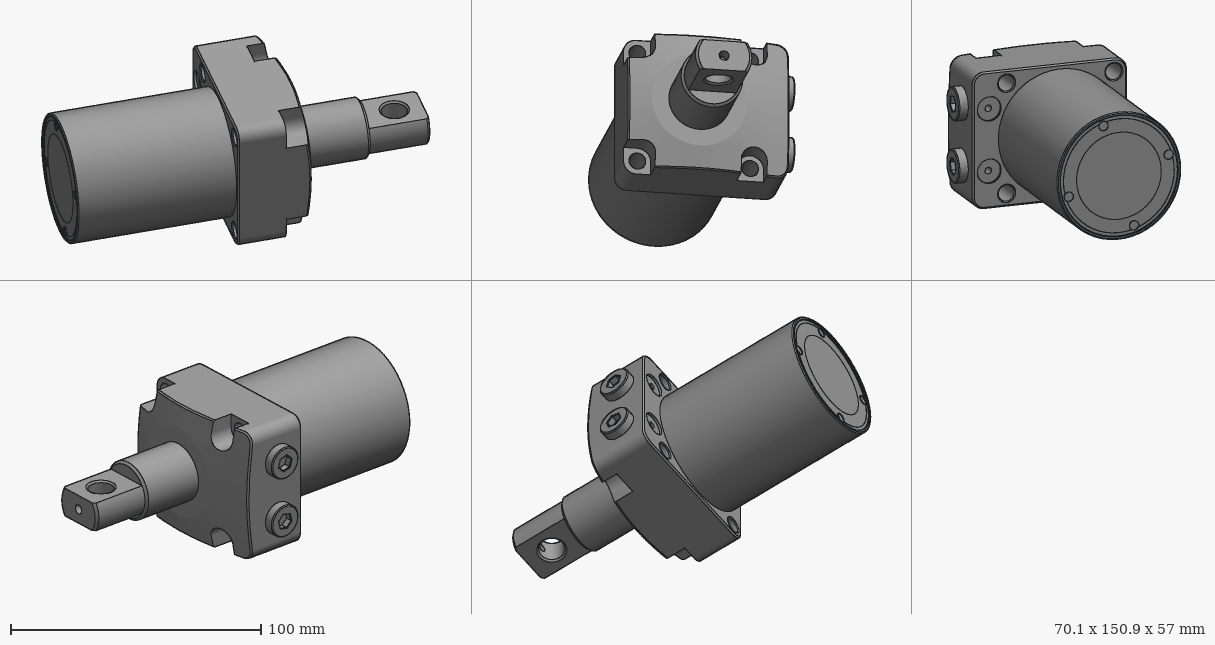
import cadquery as cq
import math

barrel_length = 66.0
flange_depth = 32.9
rod_length = 27.0
tongue_length = 25.0

flange_left = -37.5
flange_right = 28.5
flange_height = 57.0
flange_corner_radius = 5.0
flange_edge_chamfer = 0.68
crown_flat_radius = 19.5
crown_slope = 0.27
crown_reach = 60.4
crown_edge_chamfer = 0.6

bolt_offset = 23.0
bolt_hole_diameter = 6.8
bolt_hole_chamfer = 0.5
bolt_pocket_radius = 5.5
bolt_seat_y = 20.1
bolt_run_out = 15.1

port_spacing = 26.0
seal_recess_x = -30.4
seal_recess_diameter = 10.1
seal_recess_depth = 1.0
oil_hole_diameter = 2.7
plug_y = 12.0
plug_head_diameter = 13.9
plug_head_height = 4.1
plug_head_chamfer = 0.5
plug_shank_diameter = 9.0
plug_shank_length = 7.5
hex_across_flats = 5.7
hex_turn = 15
hex_depth = 3.0
hex_chamfer = 0.3

barrel_diameter = 53.0
barrel_chamfer = 0.5
cap_diameter = 50.1
cap_thickness = 9.0
cap_face_diameter = 47.4
cap_step = 0.2
cap_inset = 0.3
pin_hole_count = 4
pin_hole_circle_radius = 22.3
pin_hole_diameter = 4.0
pin_hole_depth = 0.3
pin_hole_angle = 17
plate_diameter = 36.2
plate_thickness = 3.0

rod_diameter = 25.0
rod_chamfer = 1.0
tongue_diameter = 23.0
tongue_thickness = 12.4
tongue_chamfer = 1.0
eye_diameter = 10.5
eye_chamfer = 0.8
eye_to_tip = 11.8
tip_hole_diameter = 4.0

barrel_end_y = -barrel_length
rod_shoulder_y = flange_depth + rod_length
rod_tip_y = rod_shoulder_y + tongue_length
cap_face_y = barrel_end_y + cap_inset
port_heights = (-port_spacing / 2, port_spacing / 2)


def cylinder_y(diameter, y_start, y_end, x=0, z=0):
    """A cylinder parallel to Y between two Y positions."""
    disc = cq.Workplane("XZ", origin=(x, y_start, z)).circle(diameter / 2)
    return disc.extrude(y_start - y_end)


def make_flange_block():
    """Rounded block whose rear end is a flat crown that falls away as a shallow cone."""
    width = flange_right - flange_left
    block = cq.Workplane("XY").box(width, flange_depth, flange_height)
    block = block.translate(((flange_left + flange_right) / 2, flange_depth / 2, 0))
    block = block.edges("|Y").fillet(flange_corner_radius)
    block = block.faces("<Y").edges().chamfer(flange_edge_chamfer)

    crown_drop = (crown_reach - crown_flat_radius) * crown_slope
    envelope = (
        cq.Workplane("XY")
        .moveTo(0, 0)
        .lineTo(crown_reach, 0)
        .lineTo(crown_reach, flange_depth - crown_drop)
        .lineTo(crown_flat_radius, flange_depth)
        .lineTo(0, flange_depth)
        .close()
        .revolve(360, (0, 0, 0), (0, 1, 0))
    )
    block = block.intersect(envelope)

    crown_cone = block.faces("%CONE").faces(">Y").val()
    rim = [edge for edge in crown_cone.outerWire().Edges() if edge.geomType() != "CIRCLE"]
    return block.newObject(rim).chamfer(crown_edge_chamfer)


def make_bolt_mouth(x, z):
    """Cone that chamfers a bolt hole at the mounting face."""
    inner_radius = bolt_hole_diameter / 2
    cone = cq.Solid.makeCone(
        inner_radius + bolt_hole_chamfer,
        inner_radius,
        bolt_hole_chamfer,
        cq.Vector(x, 0, z),
        cq.Vector(0, 1, 0),
    )
    return cq.Workplane(obj=cone)


def make_bolt_slot(x, z, size_x, size_z):
    """Straight run-out of a bolt head pocket, from the seat to the rear of the block."""
    size_y = flange_depth - bolt_seat_y
    slot = cq.Workplane("XY").box(size_x, size_y, size_z)
    return slot.translate((x, bolt_seat_y + size_y / 2, z))


def make_bolt_cutter(x_side, z_side):
    """Bolt hole whose head pocket opens upward or downward, and on the right also sideways."""
    x = x_side * bolt_offset
    z = z_side * bolt_offset
    cutter = cylinder_y(bolt_hole_diameter, 0, flange_depth, x, z)
    cutter = cutter.union(make_bolt_mouth(x, z))

    pocket_width = 2 * bolt_pocket_radius
    cutter = cutter.union(cylinder_y(pocket_width, bolt_seat_y, flange_depth, x, z))
    slot_z = z + z_side * bolt_run_out / 2
    cutter = cutter.union(make_bolt_slot(x, slot_z, pocket_width, bolt_run_out))
    if x_side > 0:
        slot_x = x + bolt_run_out / 2
        corner_z = z + z_side * (bolt_run_out - bolt_pocket_radius) / 2
        corner_height = bolt_run_out + bolt_pocket_radius
        cutter = cutter.union(make_bolt_slot(slot_x, corner_z, bolt_run_out, corner_height))
    return cutter


def make_oil_port_cutter(z):
    """O-ring recess and oil hole in the mounting face, and the plug bore that they lead to."""
    recess = cylinder_y(seal_recess_diameter, 0, seal_recess_depth, seal_recess_x, z)
    oil_hole = cylinder_y(oil_hole_diameter, 0, plug_y, seal_recess_x, z)
    return recess.union(oil_hole).union(make_plug_shank(z))


def make_plug_shank(z):
    """The part of a port plug inside the block, also the shape of its bore."""
    shank = cq.Workplane("YZ", origin=(flange_left, plug_y, z)).circle(plug_shank_diameter / 2)
    return shank.extrude(plug_shank_length)


def make_housing():
    """Flange block and barrel in one piece, bored for the rod, the cap and the plugs."""
    barrel = cylinder_y(barrel_diameter, barrel_end_y, 0)
    barrel = barrel.faces("<Y").edges().chamfer(barrel_chamfer)
    housing = make_flange_block().union(barrel)
    for x_side in (-1, 1):
        for z_side in (-1, 1):
            housing = housing.cut(make_bolt_cutter(x_side, z_side))
    for z in port_heights:
        housing = housing.cut(make_oil_port_cutter(z))
    rod_bore = cylinder_y(rod_diameter, 0, flange_depth)
    cap_recess = cylinder_y(cap_diameter, barrel_end_y, barrel_end_y + cap_thickness)
    housing = housing.cut(rod_bore).cut(cap_recess)
    inner_rim = cq.selectors.RadiusNthSelector(0)
    return housing.faces("<Y").edges(inner_rim).chamfer(cap_inset)


def make_rod():
    """Round rod with a flat-sided tongue, a cross eye and an axial hole from the tip."""
    rod = cylinder_y(rod_diameter, 0, rod_shoulder_y)
    rod = rod.faces(">Y").edges().chamfer(rod_chamfer)
    tongue = cylinder_y(tongue_diameter, rod_shoulder_y, rod_tip_y)
    tongue = tongue.faces(">Y").edges().chamfer(tongue_chamfer)
    flats = cq.Workplane("XY").box(tongue_diameter, 2 * tongue_length, tongue_thickness)
    tongue = tongue.intersect(flats.translate((0, rod_tip_y - tongue_length, 0)))

    eye_y = rod_tip_y - eye_to_tip
    eye = cq.Workplane("XY", origin=(0, eye_y, -tongue_thickness / 2)).circle(eye_diameter / 2)
    tongue = tongue.cut(eye.extrude(tongue_thickness))
    tongue = tongue.faces("|Z").edges("%CIRCLE").chamfer(eye_chamfer)
    tip_hole = cylinder_y(tip_hole_diameter, eye_y, rod_tip_y)
    return rod.union(tongue).cut(tip_hole)


def make_cap():
    """Screwed-in barrel cover with four shallow pin holes."""
    shoulder_y = cap_face_y + cap_step
    cap = cylinder_y(cap_diameter, shoulder_y, barrel_end_y + cap_thickness)
    cap = cap.union(cylinder_y(cap_face_diameter, cap_face_y, shoulder_y))
    for i in range(pin_hole_count):
        angle = math.radians(pin_hole_angle + i * 360 / pin_hole_count)
        x = pin_hole_circle_radius * math.cos(angle)
        z = pin_hole_circle_radius * math.sin(angle)
        cap = cap.cut(cylinder_y(pin_hole_diameter, cap_face_y, cap_face_y + pin_hole_depth, x, z))
    return cap.cut(make_plate())


def make_plate():
    """Round plate set flush in the middle of the cap."""
    return cylinder_y(plate_diameter, cap_face_y, cap_face_y + plate_thickness)


def make_plug(z):
    """Port plug: round head with a chamfered hexagon socket, and a shank in the block."""
    head = cq.Workplane("YZ", origin=(flange_left, plug_y, z))
    head = head.circle(plug_head_diameter / 2).extrude(-plug_head_height)
    head = head.faces("<X").edges().chamfer(plug_head_chamfer)

    hex_angle = math.copysign(hex_turn, z)
    socket = cq.Workplane("YZ", origin=(flange_left - plug_head_height, plug_y, z))
    socket = socket.transformed(rotate=(0, 0, hex_angle))
    socket = socket.polygon(6, hex_across_flats, circumscribed=True).extrude(hex_depth)
    head = head.cut(socket)
    head = head.faces("<X").edges("%LINE").chamfer(hex_chamfer)
    return head.union(make_plug_shank(z))


housing = make_housing()
rod = make_rod()
cap = make_cap()
plate = make_plate()
plugs = [make_plug(z) for z in port_heights]

result = cq.Compound.makeCompound(
    [housing.val(), rod.val(), cap.val(), plate.val(), *[plug.val() for plug in plugs]]
)